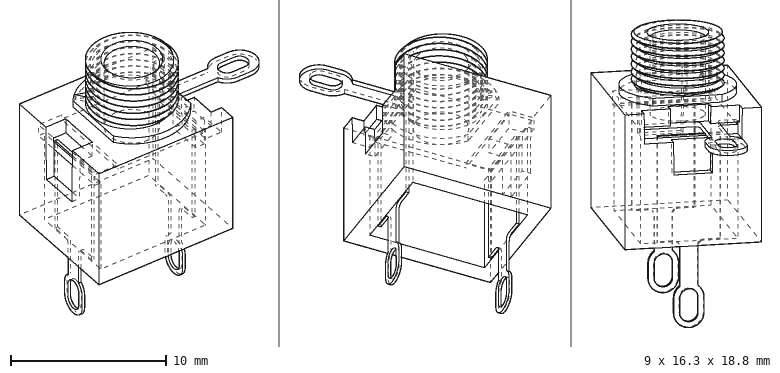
import cadquery as cq
import math


BODY_WIDTH = 9.0
BODY_HEIGHT = 9.0
FRONT_Y = -5.7
REAR_Y = 4.8

ROOF_THICKNESS = 1.13
CAVITY_WIDTH = 6.4
CAVITY_FRONT_Y = -4.65
CAVITY_REAR_Y = 3.55
CEILING_Z = BODY_HEIGHT - ROOF_THICKNESS

OPENING_DRAFT = 1.0
SHELF_Z = BODY_HEIGHT - 2.01
SILL_Z = BODY_HEIGHT - 4.2
FRONT_OPENING_WIDTH = 3.0
FRONT_OPENING_DEPTH = 1.56
FRONT_POCKET_DEPTH = 0.6
REAR_OPENING_WIDTH = 2.67
REAR_OPENING_DEPTH = 1.47
REAR_POCKET_DEPTH = 0.68
REAR_RECESS_WIDTH = 6.47
REAR_RECESS_DEPTH = 0.83

FLANGE_DIAMETER = 7.6
FLANGE_ACROSS_FLATS = 6.07
FLANGE_HEIGHT = 0.5
THREAD_DIAMETER = 6.0
THREAD_HEIGHT = 3.48
THREAD_DEPTH = 0.32
THREAD_TURNS = 7
THREAD_PITCH = THREAD_HEIGHT / THREAD_TURNS
CREST_WIDTH = 0.04
THREAD_LEAD_IN = 0.41
FLANGE_TOP_Z = BODY_HEIGHT + FLANGE_HEIGHT
BUSH_TOP_Z = FLANGE_TOP_Z + THREAD_HEIGHT
BORE_DIAMETER = 3.57
MOUTH_FLARE = 0.2
MOUTH_DEPTH = 0.34

NICK_ROOT_RADIUS = 2.73
NICK_TIP_RADIUS = 3.75
NICK_START_ANGLE = 211.0
NICK_END_ANGLE = 226.0
NICK_TIP_ANGLE = 223.3
NICK_DEPTH = 0.38

EYE_HOLE_WIDTH = 1.2
EYE_HOLE_LENGTH = 2.2
NECK_WIDTH = 1.18
SHOULDER_RADIUS = 0.4

LUG_THICKNESS = 0.34
LUG_X = -1.3
LUG_TIP_Y = 10.6
LUG_RIM = 0.65
LUG_PLATE_REAR_Y = 3.3

TERMINAL_THICKNESS = 0.2
TERMINAL_GAP = 0.05
TERMINAL_WIDTH = 4.14
TERMINAL_TOP_Z = BODY_HEIGHT - 1.92
TERMINAL_RIM = 0.4
FRONT_TAIL_LENGTH = 5.6
REAR_TAIL_LENGTH = 5.8


def block(width, y_start, y_end, z_start, z_end):
    """Box centred on X between the given Y and Z limits."""
    return cq.Workplane("XY").box(
        width, y_end - y_start, z_end - z_start, centered=(True, False, False)
    ).translate((0, y_start, z_start))


def polar_point(radius, angle):
    """Point in the XY plane at the given radius and angle in degrees."""
    return (radius * math.cos(math.radians(angle)), radius * math.sin(math.radians(angle)))


def eyelet_tail(length, rim, thickness):
    """Flat tail pointing along -Y from a shoulder at Y = 0, with an eyelet at its tip; Z = 0 upwards."""
    eye_length = EYE_HOLE_LENGTH + 2 * rim
    eye_width = EYE_HOLE_WIDTH + 2 * rim
    eye_y = eye_length / 2 - length
    half_neck = NECK_WIDTH / 2
    half_shoulder = half_neck + SHOULDER_RADIUS
    arc_inset = SHOULDER_RADIUS * (1 - math.sqrt(0.5))
    neck = (
        cq.Workplane("XY")
        .moveTo(-half_shoulder, 0)
        .lineTo(half_shoulder, 0)
        .threePointArc((half_neck + arc_inset, -arc_inset), (half_neck, -SHOULDER_RADIUS))
        .lineTo(half_neck, eye_y)
        .lineTo(-half_neck, eye_y)
        .lineTo(-half_neck, -SHOULDER_RADIUS)
        .threePointArc((-half_neck - arc_inset, -arc_inset), (-half_shoulder, 0))
        .close()
        .extrude(thickness)
    )
    eye = cq.Workplane("XY").center(0, eye_y).slot2D(eye_length, eye_width, 90).extrude(thickness)
    hole = cq.Workplane("XY").center(0, eye_y).slot2D(EYE_HOLE_LENGTH, EYE_HOLE_WIDTH, 90).extrude(thickness)
    return neck.union(eye).cut(hole)


def make_thread():
    """Left-handed threaded rod, trimmed square between the flange and the end face."""
    radius = THREAD_DIAMETER / 2
    root_radius = radius - THREAD_DEPTH
    half_groove = (THREAD_PITCH - CREST_WIDTH) / 2
    overshoot = 0.05
    cutter_radius = radius + overshoot * THREAD_DEPTH
    half_cutter = half_groove * (1 + overshoot)
    groove_turns = THREAD_TURNS + 3
    groove_start_z = BUSH_TOP_Z - THREAD_LEAD_IN - (THREAD_TURNS + 1) * THREAD_PITCH
    path = cq.Wire.makeHelix(
        THREAD_PITCH, groove_turns * THREAD_PITCH, root_radius,
        center=cq.Vector(0, 0, groove_start_z), lefthand=True,
    )
    groove = (
        cq.Workplane("XZ")
        .moveTo(root_radius, groove_start_z)
        .lineTo(cutter_radius, groove_start_z + half_cutter)
        .lineTo(cutter_radius, groove_start_z - half_cutter)
        .close()
        .sweep(path, isFrenet=True)
    )
    rod_start_z = groove_start_z - 2 * THREAD_PITCH
    rod_length = (groove_turns + 4) * THREAD_PITCH
    rod = cq.Workplane("XY", origin=(0, 0, rod_start_z)).circle(radius).extrude(rod_length)
    trim = block(2 * THREAD_DIAMETER, -THREAD_DIAMETER, THREAD_DIAMETER, FLANGE_TOP_Z, BUSH_TOP_Z)
    return rod.cut(groove).intersect(trim)


def make_flange():
    """Round flange with two flats and the nick where the thread runs out."""
    flange = cq.Workplane("XY", origin=(0, 0, BODY_HEIGHT)).circle(FLANGE_DIAMETER / 2).extrude(FLANGE_HEIGHT)
    half_flats = FLANGE_ACROSS_FLATS / 2
    flange = flange.intersect(block(FLANGE_DIAMETER, -half_flats, half_flats, BODY_HEIGHT, FLANGE_TOP_Z))
    nick = (
        cq.Workplane("XY", origin=(0, 0, FLANGE_TOP_Z - NICK_DEPTH))
        .polyline([
            polar_point(NICK_ROOT_RADIUS, NICK_START_ANGLE),
            polar_point(NICK_TIP_RADIUS, NICK_TIP_ANGLE),
            polar_point(NICK_ROOT_RADIUS, NICK_END_ANGLE),
        ])
        .close()
        .extrude(NICK_DEPTH)
    )
    return flange.cut(nick)


def make_lug():
    """Rear solder lug with the plate that holds it against the roof."""
    bottom_z = CEILING_Z - LUG_THICKNESS
    plate = block(CAVITY_WIDTH, -LUG_PLATE_REAR_Y, LUG_PLATE_REAR_Y, bottom_z, CEILING_Z)
    tail = (
        eyelet_tail(LUG_TIP_Y - LUG_PLATE_REAR_Y, LUG_RIM, LUG_THICKNESS)
        .rotate((0, 0, 0), (0, 0, 1), 180)
        .translate((LUG_X, LUG_PLATE_REAR_Y, bottom_z))
    )
    return plate.union(tail)


def drafted_block(top_width, y_start, y_end, z_start, z_end):
    """Cutter centred on X that has top_width at the housing top and narrows downwards."""
    slope = math.tan(math.radians(OPENING_DRAFT))
    lower_half = top_width / 2 - slope * (BODY_HEIGHT - z_start)
    upper_half = top_width / 2 - slope * (BODY_HEIGHT - z_end)
    return (
        cq.Workplane("XZ", origin=(0, y_end, 0))
        .polyline([(-lower_half, z_start), (lower_half, z_start), (upper_half, z_end), (-upper_half, z_end)])
        .close()
        .extrude(y_end - y_start)
    )


def cut_front_openings(body):
    opening_y = FRONT_Y + FRONT_OPENING_DEPTH
    pocket_y = FRONT_Y + FRONT_POCKET_DEPTH
    body = body.cut(drafted_block(FRONT_OPENING_WIDTH, FRONT_Y, opening_y, SHELF_Z, BODY_HEIGHT))
    body = body.cut(block(CAVITY_WIDTH, pocket_y, CAVITY_FRONT_Y, SHELF_Z, CEILING_Z))
    return body.cut(drafted_block(FRONT_OPENING_WIDTH, FRONT_Y, pocket_y, SILL_Z, SHELF_Z))


def cut_rear_openings(body):
    opening_y = REAR_Y - REAR_OPENING_DEPTH
    pocket_y = REAR_Y - REAR_POCKET_DEPTH
    recess_y = REAR_Y - REAR_RECESS_DEPTH
    body = body.cut(drafted_block(REAR_RECESS_WIDTH, recess_y, REAR_Y, CEILING_Z, BODY_HEIGHT))
    body = body.cut(drafted_block(REAR_OPENING_WIDTH, opening_y, REAR_Y, CEILING_Z, BODY_HEIGHT))
    body = body.cut(drafted_block(REAR_RECESS_WIDTH, CAVITY_REAR_Y, REAR_Y, SHELF_Z, CEILING_Z))
    return body.cut(drafted_block(REAR_OPENING_WIDTH, pocket_y, REAR_Y, SILL_Z, SHELF_Z))


def make_housing():
    body = block(BODY_WIDTH, FRONT_Y, REAR_Y, 0, BODY_HEIGHT)
    body = body.cut(block(CAVITY_WIDTH, CAVITY_FRONT_Y, CAVITY_REAR_Y, 0, CEILING_Z))
    body = cut_front_openings(body)
    body = cut_rear_openings(body)
    body = body.union(make_lug()).union(make_flange()).union(make_thread())
    bore = cq.Workplane("XY").circle(BORE_DIAMETER / 2).extrude(BUSH_TOP_Z)
    mouth = (
        cq.Workplane("XY", origin=(0, 0, BUSH_TOP_Z - MOUTH_DEPTH))
        .circle(BORE_DIAMETER / 2)
        .workplane(offset=MOUTH_DEPTH)
        .circle(BORE_DIAMETER / 2 + MOUTH_FLARE)
        .loft()
    )
    return body.cut(bore).cut(mouth)


def make_terminal(outer_y, inward, tail_length):
    """Upright flat terminal whose outer face is at outer_y; inward is +1 or -1 along Y."""
    inner_y = outer_y + inward * TERMINAL_THICKNESS
    near_y = min(outer_y, inner_y)
    far_y = max(outer_y, inner_y)
    plate = block(TERMINAL_WIDTH, near_y, far_y, 0, TERMINAL_TOP_Z)
    tail = (
        eyelet_tail(tail_length, TERMINAL_RIM, TERMINAL_THICKNESS)
        .rotate((0, 0, 0), (1, 0, 0), 90)
        .translate((0, far_y, 0))
    )
    return plate.union(tail)


housing = make_housing()
terminals = [
    make_terminal(outer_y, inward, tail_length)
    for outer_y, inward, tail_length in (
        (CAVITY_FRONT_Y + TERMINAL_GAP, 1, FRONT_TAIL_LENGTH),
        (CAVITY_REAR_Y - TERMINAL_GAP, -1, REAR_TAIL_LENGTH),
    )
]

result = cq.Compound.makeCompound([housing.val(), *[terminal.val() for terminal in terminals]])